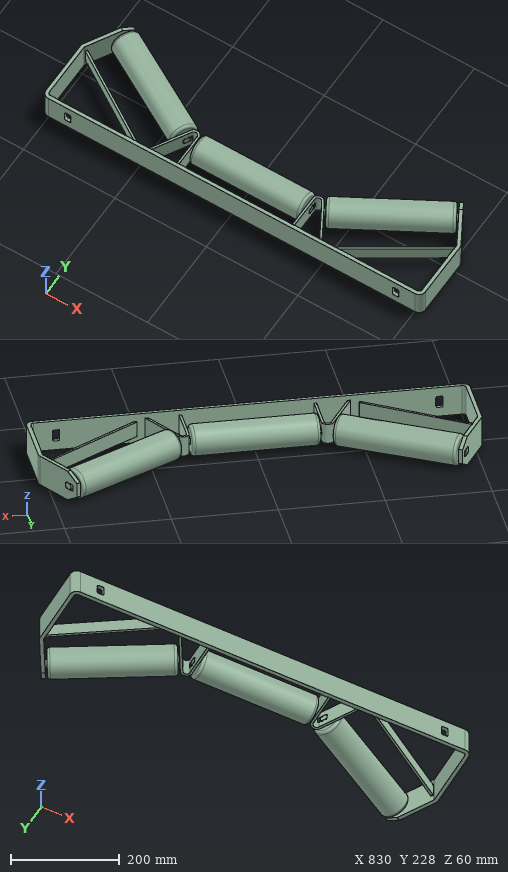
import cadquery as cq
import math

FRAME_LENGTH = 830.0
FRAME_DEPTH = 228.0
STRAP_WIDTH = 60.0
STRAP_THICKNESS = 8.0
STRAP_BEND_RADIUS = 14.0
UPPER_BEND_Y = 130.0
ARM_LEAN_DEGREES = 30.0
ARM_LEAN = math.radians(ARM_LEAN_DEGREES)
ARM_TIP_WIDTH = 29.0
ARM_TAPER_ANGLE = math.radians(30)

SHAFT_SLOT_WIDTH = 12.5
SHAFT_SLOT_LENGTH = 21.0
MOUNTING_SLOT_WIDTH = 13.0
MOUNTING_SLOT_LENGTH = 22.0
SLOT_CORNER_RADIUS = 3.0
MOUNTING_SLOT_X = 358.5

BRACKET_WIDTH = 40.0
BRACKET_THICKNESS = 5.0
BRACKET_INNER_RADIUS = 7.0
BRACKET_BEND_Y = 82.0
BRACKET_FACE_X = 124.0

STRUT_WIDTH = 30.0
STRUT_THICKNESS = 5.0
STRUT_LENGTH = 241.0
STRUT_DEGREES = 33.0
STRUT_FOOT_X = 207.5
STRUT_FOOT_Y = 11.0

ROLLER_DIAMETER = STRAP_WIDTH
ROLLER_LENGTH = 241.0
ROLLER_EDGE_RADIUS = 6.0
SHAFT_DIAMETER = 15.0
MIDDLE_ROLLER_Y = 71.0
SIDE_ROLLER_ALONG = -7.5


def tilted(out, along):
    """Point in the frame of the right arm: `out` along its outward normal, `along` up the arm."""
    return (
        out * math.cos(ARM_LEAN) - along * math.sin(ARM_LEAN),
        out * math.sin(ARM_LEAN) + along * math.cos(ARM_LEAN),
    )


def tilted_at_height(out, y):
    """Point at height y on the line parallel to the arm at distance `out`."""
    return tilted(out, (y - out * math.sin(ARM_LEAN)) / math.cos(ARM_LEAN))


def tilt_solid(solid, out):
    """Turn a solid lying along X into line with the right roller and move it `out` along that line."""
    turned = solid.rotate((0, 0, 0), (0, 0, 1), ARM_LEAN_DEGREES)
    return turned.translate((*tilted(out, SIDE_ROLLER_ALONG), 0))


def on_circle(center, radius, angle):
    """Point on a circle at an angle counterclockwise from +X."""
    return (center[0] + radius * math.cos(angle), center[1] + radius * math.sin(angle))


def distance_out(point):
    """Distance of a point along the outward normal of the right arm."""
    return point[0] * math.cos(ARM_LEAN) + point[1] * math.sin(ARM_LEAN)


strap_inner_radius = STRAP_BEND_RADIUS - STRAP_THICKNESS
side_x = FRAME_LENGTH / 2
corner_center = (side_x - STRAP_BEND_RADIUS, STRAP_BEND_RADIUS)
upper_bend_center = (side_x - STRAP_BEND_RADIUS, UPPER_BEND_Y)
arm_outer = distance_out(upper_bend_center) + STRAP_BEND_RADIUS
arm_inner = arm_outer - STRAP_THICKNESS
arm_tip = (FRAME_DEPTH - arm_outer * math.sin(ARM_LEAN)) / math.cos(ARM_LEAN)

bracket_outer_radius = BRACKET_INNER_RADIUS + BRACKET_THICKNESS
bracket_bend_center = (BRACKET_FACE_X + bracket_outer_radius, BRACKET_BEND_Y)
bracket_outer = distance_out(bracket_bend_center) + bracket_outer_radius
bracket_inner = bracket_outer - BRACKET_THICKNESS
bracket_foot_y = STRAP_THICKNESS / 2

middle_span = 2 * BRACKET_FACE_X
side_span = arm_inner - bracket_outer


def both_sides(right_half):
    """The right half together with its mirror image."""
    return right_half.union(right_half.mirror("YZ"))


def make_strap():
    """Bent strip without its slots."""
    half = (
        cq.Workplane("XY")
        .moveTo(0, 0)
        .lineTo(corner_center[0], 0)
        .threePointArc(on_circle(corner_center, STRAP_BEND_RADIUS, -math.pi / 4), (side_x, corner_center[1]))
        .lineTo(side_x, UPPER_BEND_Y)
        .threePointArc(
            on_circle(upper_bend_center, STRAP_BEND_RADIUS, ARM_LEAN / 2),
            on_circle(upper_bend_center, STRAP_BEND_RADIUS, ARM_LEAN),
        )
        .lineTo(*tilted(arm_outer, arm_tip))
        .lineTo(*tilted(arm_inner, arm_tip))
        .lineTo(*on_circle(upper_bend_center, strap_inner_radius, ARM_LEAN))
        .threePointArc(
            on_circle(upper_bend_center, strap_inner_radius, ARM_LEAN / 2),
            on_circle(upper_bend_center, strap_inner_radius, 0),
        )
        .lineTo(side_x - STRAP_THICKNESS, corner_center[1])
        .threePointArc(
            on_circle(corner_center, strap_inner_radius, -math.pi / 4),
            (corner_center[0], STRAP_THICKNESS),
        )
        .lineTo(0, STRAP_THICKNESS)
        .close()
        .extrude(STRAP_WIDTH / 2, both=True)
    )
    return both_sides(half.cut(make_tip_wedges()))


def make_tip_wedges():
    """Wedges that narrow the end of the right arm."""
    rise = (STRAP_WIDTH - ARM_TIP_WIDTH) / 2
    run = rise / math.tan(ARM_TAPER_ANGLE)
    arm_face = cq.Plane(
        origin=(*tilted(arm_outer, arm_tip), 0),
        xDir=(-math.sin(ARM_LEAN), math.cos(ARM_LEAN), 0),
        normal=(math.cos(ARM_LEAN), math.sin(ARM_LEAN), 0),
    )
    upper = (
        cq.Workplane(arm_face)
        .polyline([(0, ARM_TIP_WIDTH / 2), (0, STRAP_WIDTH / 2), (-run, STRAP_WIDTH / 2)])
        .close()
        .extrude(-STRAP_THICKNESS)
    )
    return upper.union(upper.mirror("XY"))


def make_bracket():
    """Right bracket; its feet end inside the strap."""
    middle_angle = (ARM_LEAN + math.pi) / 2
    return (
        cq.Workplane("XY")
        .moveTo(BRACKET_FACE_X, bracket_foot_y)
        .lineTo(BRACKET_FACE_X, BRACKET_BEND_Y)
        .threePointArc(
            on_circle(bracket_bend_center, bracket_outer_radius, middle_angle),
            on_circle(bracket_bend_center, bracket_outer_radius, ARM_LEAN),
        )
        .lineTo(*tilted_at_height(bracket_outer, bracket_foot_y))
        .lineTo(*tilted_at_height(bracket_inner, bracket_foot_y))
        .lineTo(*on_circle(bracket_bend_center, BRACKET_INNER_RADIUS, ARM_LEAN))
        .threePointArc(
            on_circle(bracket_bend_center, BRACKET_INNER_RADIUS, middle_angle),
            on_circle(bracket_bend_center, BRACKET_INNER_RADIUS, math.pi),
        )
        .lineTo(BRACKET_FACE_X + BRACKET_THICKNESS, bracket_foot_y)
        .close()
        .extrude(BRACKET_WIDTH / 2, both=True)
    )


def make_strut():
    """Right strut; both of its ends run into the strap."""
    return (
        cq.Workplane("XY")
        .box(STRUT_LENGTH, STRUT_THICKNESS, STRUT_WIDTH, centered=(False, False, True))
        .translate((0, -STRUT_THICKNESS, 0))
        .rotate((0, 0, 0), (0, 0, 1), STRUT_DEGREES)
        .translate((STRUT_FOOT_X, STRUT_FOOT_Y, 0))
    )


def make_shaft_slot(depth):
    """Cutter starting at X = 0 and running along Y, with its lower end against a shaft on the X axis."""
    return (
        cq.Workplane("XY")
        .box(depth, SHAFT_SLOT_LENGTH, SHAFT_SLOT_WIDTH, centered=(False, False, True))
        .edges("|X")
        .fillet(SLOT_CORNER_RADIUS)
        .translate((0, -SHAFT_DIAMETER / 2, 0))
    )


def make_mounting_slot():
    return (
        cq.Workplane("XY")
        .box(MOUNTING_SLOT_WIDTH, STRAP_THICKNESS, MOUNTING_SLOT_LENGTH, centered=(True, False, True))
        .edges("|Y")
        .fillet(SLOT_CORNER_RADIUS)
        .translate((MOUNTING_SLOT_X, 0, 0))
    )


def make_frame():
    """Strap with the brackets and struts welded to it, and all slots cut."""
    right_slots = [
        make_mounting_slot(),
        make_shaft_slot(BRACKET_THICKNESS).translate((BRACKET_FACE_X, MIDDLE_ROLLER_Y, 0)),
        tilt_solid(make_shaft_slot(BRACKET_THICKNESS), bracket_inner),
        tilt_solid(make_shaft_slot(STRAP_THICKNESS), arm_inner),
    ]
    body = make_strap().union(both_sides(make_bracket())).union(both_sides(make_strut()))
    for slot in right_slots:
        body = body.cut(slot).cut(slot.mirror("YZ"))
    return body


def make_roller(span, left_seat, right_seat):
    """Roller along X with its shaft, centered on the span between the plates that carry it.

    Inside the plates, over the depths left_seat and right_seat, the shaft has two flats.
    """
    barrel = (
        cq.Workplane("YZ", origin=(-ROLLER_LENGTH / 2, 0, 0))
        .circle(ROLLER_DIAMETER / 2)
        .extrude(ROLLER_LENGTH)
        .edges()
        .fillet(ROLLER_EDGE_RADIUS)
    )
    shaft = cq.Workplane("YZ", origin=(-span / 2, 0, 0)).circle(SHAFT_DIAMETER / 2).extrude(span)
    seated_length = left_seat + span + right_seat
    seated_start = -span / 2 - left_seat
    flat_bar = (
        cq.Workplane("XY", origin=(seated_start, 0, 0))
        .box(seated_length, SHAFT_DIAMETER, SHAFT_SLOT_WIDTH, centered=(False, True, True))
    )
    flatted_shaft = (
        cq.Workplane("YZ", origin=(seated_start, 0, 0))
        .circle(SHAFT_DIAMETER / 2)
        .extrude(seated_length)
        .intersect(flat_bar)
    )
    return barrel.union(shaft).union(flatted_shaft)


def make_middle_roller():
    level_roller = make_roller(middle_span, BRACKET_THICKNESS, BRACKET_THICKNESS)
    return level_roller.translate((0, MIDDLE_ROLLER_Y, 0))


def make_side_roller(side):
    """Leaning roller on the right (side = 1) or on the left (side = -1)."""
    level_roller = make_roller(side_span, BRACKET_THICKNESS, STRAP_THICKNESS)
    right_roller = tilt_solid(level_roller, (bracket_outer + arm_inner) / 2)
    return right_roller if side > 0 else right_roller.mirror("YZ")


frame = make_frame()
rollers = [make_middle_roller()]
for side in (-1, 1):
    rollers.append(make_side_roller(side))

result = cq.Compound.makeCompound([body.solids().val() for body in [frame, *rollers]])